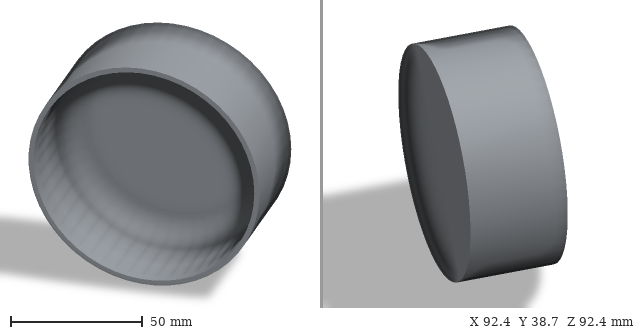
import cadquery as cq

outer_diameter = 92.4
height = 38.7
wall_thickness = 2.0
floor_thickness = 2.0
inner_corner_radius = 10.0

inner_radius = outer_diameter / 2 - wall_thickness
cavity_depth = height - floor_thickness


def cylinder_from_rim(radius, length):
    """Cylinder running from the rim plane (Y = 0) towards +Y."""
    return cq.Workplane("XZ").circle(radius).extrude(-length)


body = cylinder_from_rim(outer_diameter / 2, height)

cavity = cylinder_from_rim(inner_radius, cavity_depth).faces(">Y").edges().fillet(inner_corner_radius)

result = body.cut(cavity)